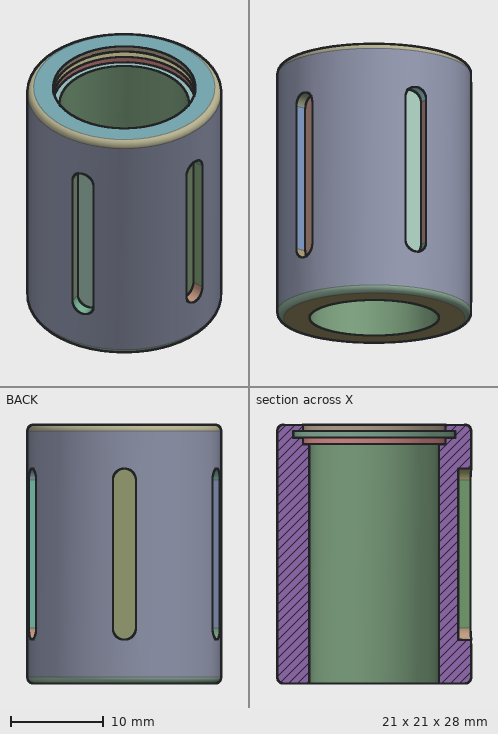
import cadquery as cq

outer_diameter = 21.0
height = 28.0
rim_fillet = 0.7
bore_diameter = 14.0

counterbore_diameter = 15.4
counterbore_depth = 2.1
groove_diameter = 17.5
groove_top_depth = 0.7
groove_height = 0.7

slot_count = 5
slot_width = 2.5
slot_straight_length = 16.0
slot_length = slot_straight_length + slot_width
slot_floor_radius = 9.1
first_slot_angle = 90.0
cutter_clearance = 1.0


def make_body():
    body = cq.Workplane("XY").circle(outer_diameter / 2).extrude(height)
    return body.faces("<Z or >Z").edges().fillet(rim_fillet)


def make_disc(diameter, bottom, thickness):
    return cq.Workplane("XY").workplane(offset=bottom).circle(diameter / 2).extrude(thickness)


def cut_inside(body):
    bore = make_disc(bore_diameter, 0, height)
    counterbore = make_disc(counterbore_diameter, height - counterbore_depth, counterbore_depth)
    groove_bottom = height - groove_top_depth - groove_height
    groove = make_disc(groove_diameter, groove_bottom, groove_height)
    return body.cut(bore).cut(counterbore).cut(groove)


def make_slot_cutter(angle):
    cutter_depth = outer_diameter / 2 - slot_floor_radius + cutter_clearance
    cutter = (
        cq.Workplane("YZ", origin=(slot_floor_radius, 0, height / 2))
        .slot2D(slot_length, slot_width, 90)
        .extrude(cutter_depth)
    )
    return cutter.rotate((0, 0, 0), (0, 0, 1), angle)


def cut_slots(body):
    for index in range(slot_count):
        angle = first_slot_angle + index * 360 / slot_count
        body = body.cut(make_slot_cutter(angle))
    return body


result = cut_slots(cut_inside(make_body()))